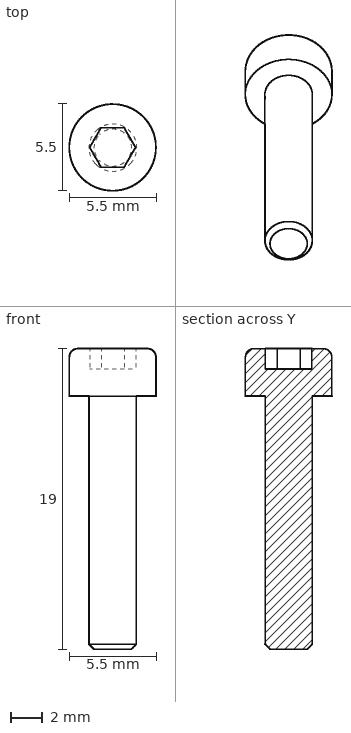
import cadquery as cq
import math

total_length = 19.0
head_diameter = 5.5
head_height = 3.0
head_fillet = 0.55
shank_diameter = 3.0
tip_chamfer = 0.32
socket_across_flats = 2.5
socket_depth = 1.3

shank_length = total_length - head_height
socket_across_corners = socket_across_flats / math.cos(math.pi / 6)

head = cq.Workplane("XY").circle(head_diameter / 2).extrude(head_height)
head = head.faces(">Z").edges().fillet(head_fillet)

shank = cq.Workplane("XY").circle(shank_diameter / 2).extrude(-shank_length)
shank = shank.faces("<Z").edges().chamfer(tip_chamfer)

socket = (
    cq.Workplane("XY")
    .workplane(offset=head_height)
    .polygon(6, socket_across_corners)
    .extrude(-socket_depth)
)

result = head.union(shank).cut(socket)